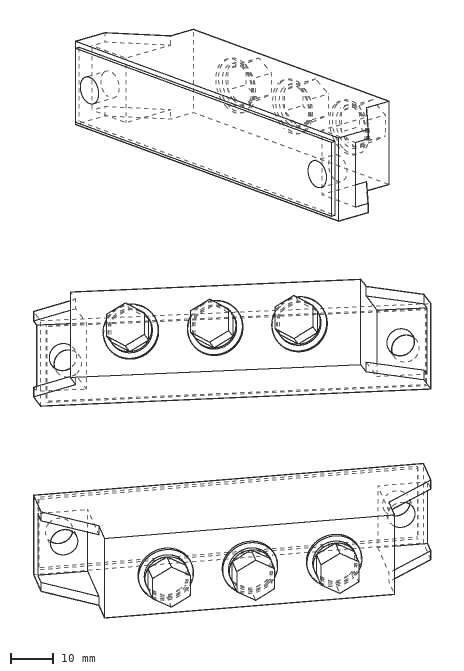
import cadquery as cq

body_length = 92.5
overall_depth = 35.0
body_height = 20.5

plate_thickness = 1.1
plate_length = 90.0
plate_height = 18.2

bolt_pitch = 20.0
bolt_count = 3
washer_diameter = 13.0
washer_thickness = 0.8
spring_washer_diameter = 10.4
spring_washer_thickness = 1.1
hex_corner_diameter = 10.4
hex_height = 5.6

terminal_length = 68.8
shoulder_depth = 7.0
slope_end_depth = 17.0

pocket_height = 15.9
pocket_floor_depth = 21.0
hole_diameter = 6.5
hole_pitch = 80.0

plate_y = -overall_depth / 2
body_y = plate_y + plate_thickness
head_y = overall_depth / 2
terminal_y = head_y - hex_height - spring_washer_thickness - washer_thickness
shoulder_y = terminal_y - shoulder_depth
slope_end_y = terminal_y - slope_end_depth
pocket_floor_y = terminal_y - pocket_floor_depth


def y_plane(y):
    """Workplane at the given Y whose extrusions grow toward +Y."""
    return cq.Workplane(cq.Plane(origin=(0, y, 0), xDir=(1, 0, 0), normal=(0, 1, 0)))


def make_housing():
    half_length = body_length / 2
    half_terminal = terminal_length / 2
    right_side = [
        (half_length, body_y),
        (half_length, slope_end_y),
        (half_terminal, shoulder_y),
        (half_terminal, terminal_y),
    ]
    left_side = [(-x, y) for x, y in reversed(right_side)]
    return (
        cq.Workplane("XY")
        .polyline(right_side + left_side)
        .close()
        .extrude(body_height / 2, both=True)
    )


def make_base_plate():
    return y_plane(plate_y).rect(plate_length, plate_height).extrude(plate_thickness)


def make_end_pocket(side):
    """Space between the two end cheeks, giving access to the mounting hole."""
    pocket_length = (body_length - terminal_length) / 2
    pocket_x = side * (terminal_length + pocket_length) / 2
    return (
        y_plane(pocket_floor_y)
        .center(pocket_x, 0)
        .rect(pocket_length, pocket_height)
        .extrude(pocket_floor_depth)
    )


def make_mounting_hole(side):
    return (
        y_plane(plate_y)
        .center(side * hole_pitch / 2, 0)
        .circle(hole_diameter / 2)
        .extrude(pocket_floor_y - plate_y)
    )


def make_bolt(x):
    """Flat washer, spring washer and hexagonal head with corners toward +Z and -Z."""
    washer = y_plane(terminal_y).circle(washer_diameter / 2).extrude(washer_thickness)
    spring_washer = (
        y_plane(terminal_y + washer_thickness)
        .circle(spring_washer_diameter / 2)
        .extrude(spring_washer_thickness)
    )
    head = (
        y_plane(head_y - hex_height)
        .transformed(rotate=(0, 0, 90))
        .polygon(6, hex_corner_diameter)
        .extrude(hex_height)
    )
    return washer.union(spring_washer).union(head).translate((x, 0, 0))


result = make_housing().union(make_base_plate())

for side in (-1, 1):
    result = result.cut(make_end_pocket(side))
    result = result.cut(make_mounting_hole(side))

for index in range(bolt_count):
    bolt_x = (index - (bolt_count - 1) / 2) * bolt_pitch
    result = result.union(make_bolt(bolt_x))